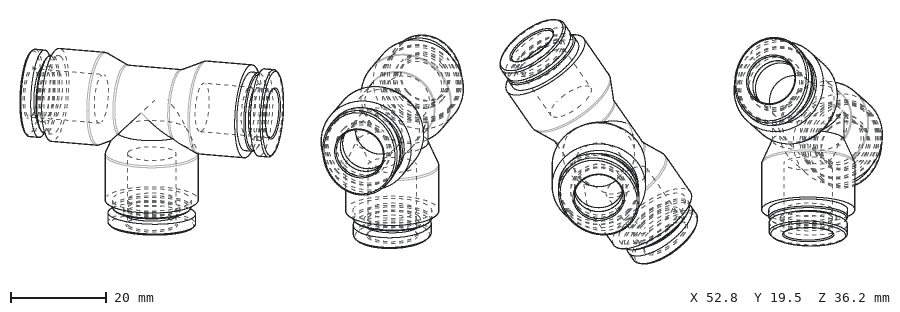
import cadquery as cq


PORT_DIAMETER = 19.5
NECK_DIAMETER = 15.0
HOUSING_REACH = 21.0
PORT_START = 11.0
NECK_END = 5.95
CONE_FILLET = 1.0
TUBE_SEAT_DEPTH = 10.05

RING_DIAMETER = 16.5
RING_LENGTH = 1.8
RING_CHAMFER = 0.25
TUBE_DIAMETER = 10.15

SLEEVE_REACH = 26.4
SLEEVE_DIAMETER = 11.7
SLEEVE_BORE = 10.2
BORE_CHAMFER = 0.25
FLANGE_LONG_AXIS = 18.5
FLANGE_SHORT_AXIS = 16.1
FLANGE_THICKNESS = 2.5
FLANGE_CHAMFER = 0.35

PORT_RADIUS = PORT_DIAMETER / 2
NECK_RADIUS = NECK_DIAMETER / 2
RING_REACH = HOUSING_REACH + RING_LENGTH
FLANGE_START = SLEEVE_REACH - FLANGE_THICKNESS

RUN_ANGLES = (90, 270)
BRANCH_ANGLE = 180
PORT_ANGLES = (*RUN_ANGLES, BRANCH_ANGLE)


def onto_port(body, angle):
    """Turn a body built along +Z onto the port axis at the given angle."""
    return body.rotate((0, 0, 0), (0, 1, 0), angle)


def make_arm(filleted_cone_ends):
    """Revolve one arm of the tee along +Z: neck, cone and port cylinder."""
    outline = [
        (0, 0),
        (NECK_RADIUS, 0),
        (NECK_RADIUS, NECK_END),
        (PORT_RADIUS, PORT_START),
        (PORT_RADIUS, HOUSING_REACH),
        (0, HOUSING_REACH),
    ]
    arm = cq.Workplane("XZ").polyline(outline).close().revolve(360, (0, 0, 0), (0, 1, 0))
    for cone_end in filleted_cone_ends:
        rim = arm.edges(cq.selectors.NearestToPointSelector((0, 0, cone_end)))
        arm = rim.fillet(CONE_FILLET)
    return arm


def make_tube_seat():
    """Blind hole that opens at the port end face."""
    return (
        cq.Workplane("XY", origin=(0, 0, HOUSING_REACH - TUBE_SEAT_DEPTH))
        .circle(TUBE_DIAMETER / 2)
        .extrude(TUBE_SEAT_DEPTH)
    )


def make_housing():
    """Tee of three arms. The branch cone meets its neck in a sharp edge."""
    housing = onto_port(make_arm([PORT_START]), BRANCH_ANGLE)
    for angle in RUN_ANGLES:
        housing = housing.union(onto_port(make_arm([PORT_START, NECK_END]), angle))
    for angle in PORT_ANGLES:
        housing = housing.cut(onto_port(make_tube_seat(), angle))
    return housing


def make_guide_ring():
    """Ring with a chamfered outer rim."""
    return (
        cq.Workplane("XY", origin=(0, 0, HOUSING_REACH))
        .circle(RING_DIAMETER / 2)
        .extrude(RING_LENGTH)
        .faces(">Z")
        .edges()
        .chamfer(RING_CHAMFER)
        .faces(">Z")
        .workplane()
        .hole(TUBE_DIAMETER)
    )


def make_release_sleeve():
    """Round sleeve with an oval flange, its long axis in the plane of the tee."""
    flange = (
        cq.Workplane("XY", origin=(0, 0, FLANGE_START))
        .ellipse(FLANGE_LONG_AXIS / 2, FLANGE_SHORT_AXIS / 2)
        .extrude(FLANGE_THICKNESS)
        .faces(">Z")
        .edges()
        .chamfer(FLANGE_CHAMFER)
    )
    neck = (
        cq.Workplane("XY", origin=(0, 0, RING_REACH))
        .circle(SLEEVE_DIAMETER / 2)
        .extrude(FLANGE_START - RING_REACH)
    )
    sleeve = flange.union(neck).faces(">Z").workplane().hole(SLEEVE_BORE)
    return sleeve.faces(">Z").edges("%CIRCLE").chamfer(BORE_CHAMFER)


housing = make_housing()
guide_rings = [onto_port(make_guide_ring(), angle) for angle in PORT_ANGLES]
release_sleeves = [onto_port(make_release_sleeve(), angle) for angle in PORT_ANGLES]

result = cq.Compound.makeCompound(
    [
        housing.val(),
        *[ring.val() for ring in guide_rings],
        *[sleeve.val() for sleeve in release_sleeves],
    ]
)